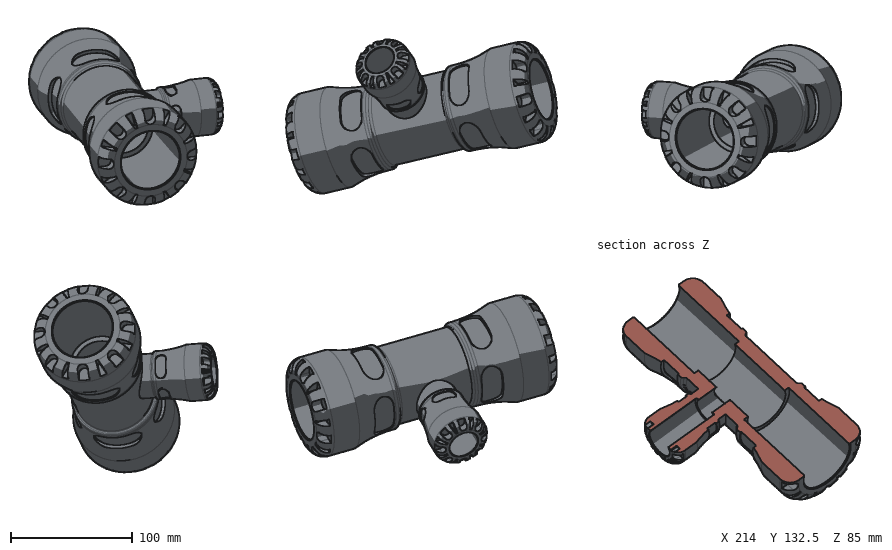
import cadquery as cq
import math

RUN_LENGTH = 214.0
OVERALL_DEPTH = 132.5

RUN_END = dict(
    cap_diameter=85.0,
    cap_round=11.1,
    shoulder=33.8,
    collar_diameter=72.3,
    collar_start=69.1,
    collar_width=2.5,
    collar_blend=2.1,
    barrel_diameter=66.3,
    bore_diameter=41.7,
    socket_diameter=50.0,
    mouth_chamfer=0.9,
    slot_width=8.8,
    slot_depth=8.8,
    wedge_root_width=2.0,
    pad_start=49.6,
    pad_width=18.2,
    pad_length=40.0,
    pad_floor_diameter=70.2,
)
BRANCH_END = dict(
    cap_diameter=47.0,
    cap_round=8.0,
    shoulder=21.0,
    collar_diameter=40.0,
    collar_start=46.0,
    collar_width=2.0,
    collar_blend=1.3,
    barrel_diameter=36.5,
    bore_diameter=20.8,
    socket_diameter=25.0,
    mouth_chamfer=0.5,
    slot_width=6.2,
    slot_depth=6.2,
    wedge_root_width=1.3,
    pad_start=36.8,
    pad_width=9.0,
    pad_length=20.8,
    pad_floor_diameter=38.0,
)

SLOT_COUNT = 8
WEDGE_ANGLE = 20.0
PAD_COUNT = 4
ROOT_CLEARANCE = 0.2
CUT_MARGIN = 2.1


def barrel_start(end):
    """Axial place where the collar has blended down to the barrel."""
    half_drop = (end["collar_diameter"] - end["barrel_diameter"]) / 4
    blend = end["collar_blend"]
    half_run = math.sqrt(blend**2 - (blend - half_drop) ** 2)
    return end["collar_start"] + end["collar_width"] + 2 * half_run


def flare_middle(end):
    """Point halfway along the flare, an arc tangent to the collar cylinder."""
    collar_r = end["collar_diameter"] / 2
    drop = end["cap_diameter"] / 2 - collar_r
    run = end["collar_start"] - end["shoulder"]
    radius = (run**2 + drop**2) / (2 * drop)
    half_angle = math.asin(run / radius) / 2
    return (
        collar_r + radius * (1 - math.cos(half_angle)),
        end["collar_start"] - radius * math.sin(half_angle),
    )


def outer_body(end):
    """Solid of revolution: rounded cap, flare, collar and blend to the barrel."""
    cap_r = end["cap_diameter"] / 2
    collar_r = end["collar_diameter"] / 2
    barrel_r = end["barrel_diameter"] / 2
    cap_round = end["cap_round"]
    collar_start = end["collar_start"]
    collar_end = collar_start + end["collar_width"]
    body_end = barrel_start(end)
    blend_middle = ((collar_r + barrel_r) / 2, (collar_end + body_end) / 2)
    return (
        cq.Workplane("XZ")
        .lineTo(cap_r - cap_round, 0)
        .tangentArcPoint((cap_r, cap_round), relative=False)
        .lineTo(cap_r, end["shoulder"])
        .threePointArc(flare_middle(end), (collar_r, collar_start))
        .lineTo(collar_r, collar_end)
        .tangentArcPoint(blend_middle, relative=False)
        .tangentArcPoint((barrel_r, body_end), relative=False)
        .lineTo(0, body_end)
        .close()
        .revolve(360, (0, 0, 0), (0, 1, 0))
    )


def ring_of(cutter, count, first_angle=0.0):
    """Copies of a cutter spread evenly about the z axis."""
    ring = cq.Workplane("XY")
    for i in range(count):
        ring = ring.add(cutter.rotate((0, 0, 0), (0, 0, 1), first_angle + i * 360 / count))
    return ring.combine()


def slot_root_radius(end):
    """Innermost reach of the slots, just outside the flat end ring."""
    return end["cap_diameter"] / 2 - end["cap_round"] + ROOT_CLEARANCE


def u_slots(end):
    """Round-bottomed slots through the cap round, ending just outside the flat end ring."""
    half_width = end["slot_width"] / 2
    root_r = slot_root_radius(end)
    outer_r = end["cap_diameter"] / 2 + CUT_MARGIN
    slot = (
        cq.Workplane("XY")
        .moveTo(outer_r, -half_width)
        .lineTo(outer_r, half_width)
        .lineTo(root_r + half_width, half_width)
        .threePointArc((root_r, 0), (root_r + half_width, -half_width))
        .close()
        .extrude(end["slot_depth"])
    )
    return ring_of(slot, SLOT_COUNT)


def wedge_slots(end):
    """Slots that widen outward, midway between the U slots."""
    root_r = slot_root_radius(end)
    outer_r = end["cap_diameter"] / 2 + CUT_MARGIN
    root_half = end["wedge_root_width"] / 2
    outer_half = root_half + (outer_r - root_r) * math.tan(math.radians(WEDGE_ANGLE / 2))
    wedge = (
        cq.Workplane("XY")
        .polyline([
            (root_r, -root_half),
            (outer_r, -outer_half),
            (outer_r, outer_half),
            (root_r, root_half),
        ])
        .close()
        .extrude(end["slot_depth"])
    )
    return ring_of(wedge, SLOT_COUNT, 180 / SLOT_COUNT)


def grip_pads(end):
    """Stadium-shaped recesses around the neck, with a cylindrical floor."""
    middle = end["pad_start"] + end["pad_width"] / 2
    stadium = (
        cq.Workplane("YZ")
        .center(0, middle)
        .slot2D(end["pad_length"], end["pad_width"])
        .extrude(end["cap_diameter"] / 2)
    )
    floor = cq.Workplane("XY").circle(end["pad_floor_diameter"] / 2).extrude(barrel_start(end))
    return ring_of(stadium.cut(floor), PAD_COUNT)


def fitting_end(end):
    return outer_body(end).cut(u_slots(end)).cut(wedge_slots(end)).cut(grip_pads(end))


def socket(end):
    """Pipe socket with a chamfered mouth, stopping where the barrel begins."""
    socket_r = end["socket_diameter"] / 2
    chamfer = end["mouth_chamfer"]
    depth = barrel_start(end)
    return (
        cq.Workplane("XZ")
        .lineTo(socket_r + chamfer, 0)
        .lineTo(socket_r, chamfer)
        .lineTo(socket_r, depth)
        .lineTo(0, depth)
        .close()
        .revolve(360, (0, 0, 0), (0, 1, 0))
    )


def on_left(shape):
    """Turn local +z to +X and set the open face on the -X end of the run."""
    return shape.rotate((0, 0, 0), (0, 1, 0), 90).translate((-RUN_LENGTH / 2, 0, 0))


def on_right(shape):
    return on_left(shape).mirror("YZ")


def on_branch(shape):
    """Turn local +z to -Y and set the open face on the +Y end of the branch."""
    return shape.rotate((0, 0, 0), (1, 0, 0), 90).translate((0, branch_reach, 0))


branch_reach = OVERALL_DEPTH - RUN_END["cap_diameter"] / 2

barrel_length = RUN_LENGTH - 2 * barrel_start(RUN_END)
run_barrel = (
    cq.Workplane("YZ")
    .circle(RUN_END["barrel_diameter"] / 2)
    .extrude(barrel_length / 2, both=True)
)
branch_barrel = (
    cq.Workplane("XZ")
    .circle(BRANCH_END["barrel_diameter"] / 2)
    .extrude(-(branch_reach - barrel_start(BRANCH_END)))
)
run_fitting = fitting_end(RUN_END)
body = (
    run_barrel
    .union(branch_barrel)
    .union(on_left(run_fitting))
    .union(on_right(run_fitting))
    .union(on_branch(fitting_end(BRANCH_END)))
)

run_bore = (
    cq.Workplane("YZ")
    .circle(RUN_END["bore_diameter"] / 2)
    .extrude(RUN_LENGTH / 2, both=True)
)
branch_bore = (
    cq.Workplane("XZ")
    .circle(BRANCH_END["bore_diameter"] / 2)
    .extrude(-branch_reach)
)
run_socket = socket(RUN_END)

result = (
    body
    .cut(run_bore)
    .cut(branch_bore)
    .cut(on_left(run_socket))
    .cut(on_right(run_socket))
    .cut(on_branch(socket(BRANCH_END)))
)